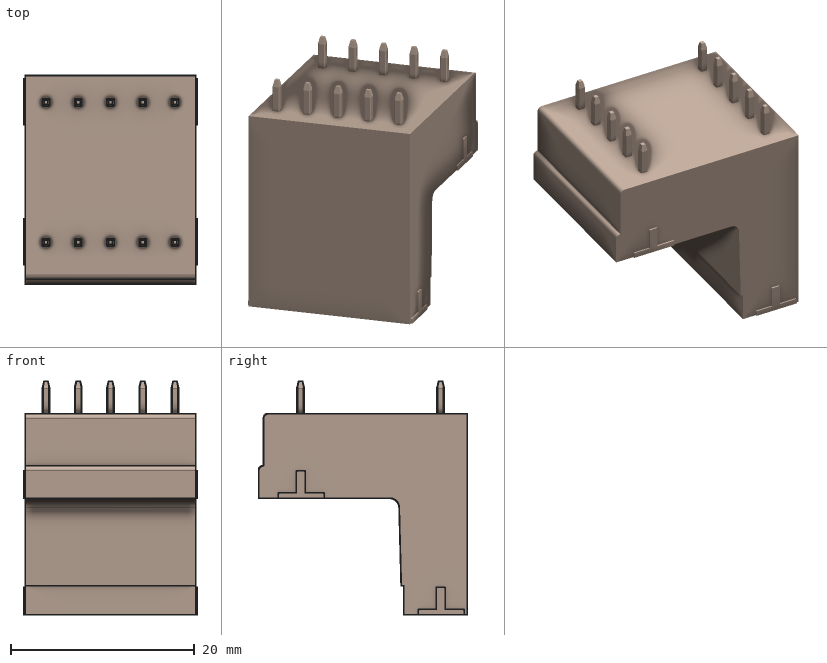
import cadquery as cq
import math


total_width = 18.9
total_depth = 22.7
total_height = 25.4

rib_thickness = 0.18
body_width = total_width - 2 * rib_thickness
body_top = 21.87
arm_underside = 12.65
leg_draft_angle = 1.5
leg_depth_at_foot = 7.21
foot_depth = 6.93
foot_height = 3.15
lip_depth = 0.53
lip_height = 3.55
edge_radius = 0.5
inner_radius = 1.0

pin_columns = 5
pin_pitch = 3.5
pin_width = 0.81
pin_corner_chamfer = 0.1
pin_tip_width = 0.43
pin_tip_height = 0.8
pin_root = 0.25
rear_row_y = -2.92
row_spacing = 15.21
row_positions = [rear_row_y, rear_row_y - row_spacing]

rib_height = 3.0
rib_stem_width = 1.0
rib_foot_width = 5.0
rib_foot_height = 0.6
rib_foot_shift = 0.08
rib_stem_radius = 0.13
rib_foot_radius = 0.13
rib_bottoms = [0, arm_underside]


def make_body():
    """L-shaped side profile extruded across the width."""
    upper_front = -(total_depth - lip_depth)
    lip_top = arm_underside + lip_height
    draft_run = (arm_underside - foot_height) * math.tan(math.radians(leg_draft_angle))
    leg_depth_at_arm = leg_depth_at_foot + draft_run

    profile = (
        cq.Workplane("YZ", origin=(-body_width / 2, 0, 0))
        .polyline([
            (0, 0),
            (0, body_top),
            (upper_front, body_top),
            (upper_front, lip_top),
            (-total_depth, lip_top),
            (-total_depth, arm_underside),
            (-leg_depth_at_arm, arm_underside),
            (-leg_depth_at_foot, foot_height),
            (-foot_depth, foot_height),
            (-foot_depth, 0),
        ])
        .close()
    )
    body = profile.extrude(body_width)
    for y, z, radius in [
        (upper_front, body_top, edge_radius),
        (-total_depth, lip_top, edge_radius),
        (-leg_depth_at_arm, arm_underside, inner_radius),
    ]:
        body = body.edges(cq.NearestToPointSelector((0, y, z))).fillet(radius)
    return body


def make_pin(x, y):
    """Square pin with chamfered corners and a pyramid tip."""
    shoulder = total_height - pin_tip_height
    shaft_bottom = body_top - pin_root
    envelope = (
        cq.Workplane("XY", origin=(x, y, shaft_bottom))
        .rect(pin_width, pin_width)
        .extrude(total_height - shaft_bottom)
        .edges("|Z")
        .chamfer(pin_corner_chamfer)
    )
    shaft = cq.Workplane("XY", origin=(x, y, shaft_bottom)).rect(pin_width, pin_width)
    shaft = shaft.extrude(shoulder - shaft_bottom)
    tip = (
        cq.Workplane("XY", origin=(x, y, shoulder))
        .rect(pin_width, pin_width)
        .workplane(offset=pin_tip_height)
        .rect(pin_tip_width, pin_tip_width)
        .loft(ruled=True)
    )
    return envelope.intersect(shaft.union(tip))


def make_rib_pair(y, bottom):
    """T-shaped rib that crosses the body and stands proud of both sides."""
    stem = (
        cq.Workplane("XY", origin=(0, y, bottom))
        .box(total_width, rib_stem_width, rib_height, centered=(True, True, False))
        .edges("|X and >Z")
        .fillet(rib_stem_radius)
    )
    foot = (
        cq.Workplane("XY", origin=(0, y + rib_foot_shift, bottom))
        .box(total_width, rib_foot_width, rib_foot_height, centered=(True, True, False))
        .edges("|X and >Z")
        .fillet(rib_foot_radius)
    )
    return stem.union(foot)


result = make_body()
for row_y, rib_bottom in zip(row_positions, rib_bottoms):
    result = result.union(make_rib_pair(row_y, rib_bottom))
    for column in range(pin_columns):
        pin_x = (column - (pin_columns - 1) / 2) * pin_pitch
        result = result.union(make_pin(pin_x, row_y))